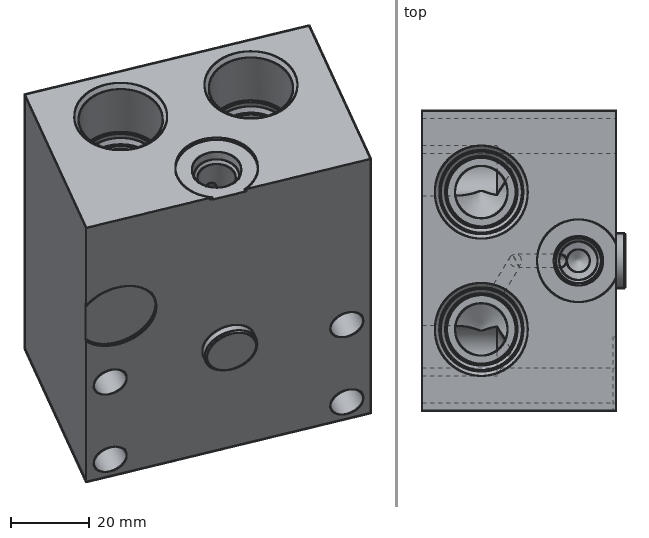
import cadquery as cq
import math

BLOCK_X = 49.3
BLOCK_Y = 76.2
BLOCK_Z = 93.7

DRILL_POINT_ANGLE = 118.0
DRILL_SLOPE = 1 / math.tan(math.radians(DRILL_POINT_ANGLE / 2))

PORT_X = 15.1
PORT_Y = 17.4
PORT_MOUTH_R = 11.8
PORT_MOUTH_DEPTH = 1.1
PORT_THREAD_R = 10.7
PORT_THREAD_DEPTH = 16.9
PORT_CORE_R = 10.3
PORT_CORE_DEPTH = 18.7
PORT_SEAT_R = 9.2
PORT_SEAT_DEPTH = 20.6
PORT_FLOOR_R = 8.7
PORT_FLOOR_DEPTH = PORT_SEAT_DEPTH + PORT_SEAT_R - PORT_FLOOR_R
PORT_BORE_R = 6.65

FEED_Y = 22.9
FEED_Z = 20.5
FEED_R = 6.4
FEED_DEPTH = 19.0

PORT_BORE_DEPTH = BLOCK_Z - FEED_Z

BOLT_Y = 31.7
BOLT_LOW_Z = 6.3
BOLT_HIGH_Z = 34.8
BOLT_R = 4.4

SPOTFACE_R = 10.5
GAUGE_X = 39.7
GAUGE_SPOT_DEPTH = 0.8
GAUGE_MOUTH_R = 6.3
GAUGE_MOUTH_END_R = 5.7
GAUGE_MOUTH_DEPTH = 3.0
GAUGE_THREAD_R = 4.9
GAUGE_THREAD_DEPTH = 13.5
GAUGE_FLOOR_DEPTH = 14.1
GAUGE_BORE_R = 2.9
GAUGE_BORE_DEPTH = 18.7

PASSAGE_R = 1.7
PASSAGE_OVERRUN = 6.6
GAUGE_PASSAGE_START = cq.Vector(35.0, 0, 80.1)
GAUGE_PASSAGE_ANGLE = 60.0
GAUGE_PASSAGE_LENGTH = 22.5

LINK_OPENING = cq.Vector(19.2, -7.6, 78.7)

SIDE_SPOT_Y = -29.8
SIDE_SPOT_Z = 58.5
SIDE_SPOT_DEPTH = 0.75

PLUG_Z = 37.8
PLUG_R = 7.0
PLUG_LENGTH = 2.4
PLUG_CHAMFER = 0.5


def turned(profile):
    """Solid of revolution about Z from (radius, height) points that end on the axis."""
    top = profile[0][1]
    outline = [(0, top), *profile]
    return cq.Workplane("XZ").polyline(outline).close().revolve(360, (0, 0, 0), (0, 1, 0))


def feed_hole(y):
    """Blind drilling from the mounting face toward +X, ending in a drill point."""
    drill = turned([
        (FEED_R, 0),
        (FEED_R, -FEED_DEPTH),
        (0, -FEED_DEPTH - FEED_R * DRILL_SLOPE),
    ])
    return drill.rotate((0, 0, 0), (0, 1, 0), -90).translate((0, y, FEED_Z))


def main_port(y):
    """Stepped bore of one main port, from its chamfered mouth down to its drill point."""
    bore_tip = PORT_BORE_DEPTH + PORT_BORE_R * DRILL_SLOPE
    cutter = turned([
        (PORT_MOUTH_R, 0),
        (PORT_THREAD_R, -PORT_MOUTH_DEPTH),
        (PORT_THREAD_R, -PORT_THREAD_DEPTH),
        (PORT_CORE_R, -PORT_THREAD_DEPTH - (PORT_THREAD_R - PORT_CORE_R)),
        (PORT_CORE_R, -PORT_CORE_DEPTH),
        (PORT_SEAT_R, -PORT_CORE_DEPTH - (PORT_CORE_R - PORT_SEAT_R)),
        (PORT_SEAT_R, -PORT_SEAT_DEPTH),
        (PORT_FLOOR_R, -PORT_FLOOR_DEPTH),
        (PORT_BORE_R, -PORT_FLOOR_DEPTH),
        (PORT_BORE_R, -PORT_BORE_DEPTH),
        (0, -bore_tip),
    ])
    return cutter.translate((PORT_X, y, BLOCK_Z))


def gauge_port():
    """Spotface, sealing cone, thread bore with a shallow conical floor, and pilot bore."""
    seat_end = GAUGE_MOUTH_DEPTH + GAUGE_MOUTH_END_R - GAUGE_THREAD_R
    cutter = turned([
        (SPOTFACE_R, 0),
        (SPOTFACE_R, -GAUGE_SPOT_DEPTH),
        (GAUGE_MOUTH_R, -GAUGE_SPOT_DEPTH),
        (GAUGE_MOUTH_END_R, -GAUGE_MOUTH_DEPTH),
        (GAUGE_THREAD_R, -seat_end),
        (GAUGE_THREAD_R, -GAUGE_THREAD_DEPTH),
        (GAUGE_BORE_R, -GAUGE_FLOOR_DEPTH),
        (GAUGE_BORE_R, -GAUGE_BORE_DEPTH),
        (0, -GAUGE_BORE_DEPTH - GAUGE_BORE_R * DRILL_SLOPE),
    ])
    return cutter.translate((GAUGE_X, 0, BLOCK_Z))


def passage(start, end):
    """Round drilling between two points."""
    run = end - start
    return cq.Workplane(cq.Solid.makeCylinder(PASSAGE_R, run.Length, start, run))


def gauge_passages():
    """Sloping gauge passage and the link that joins it to the -Y main port."""
    slope = math.radians(GAUGE_PASSAGE_ANGLE)
    downhill = cq.Vector(-math.cos(slope), 0, -math.sin(slope))
    meeting_point = GAUGE_PASSAGE_START + downhill * GAUGE_PASSAGE_LENGTH
    link_run = (meeting_point - LINK_OPENING).normalized()
    link_start = LINK_OPENING - link_run * PASSAGE_OVERRUN
    top = GAUGE_PASSAGE_START - downhill * PASSAGE_OVERRUN
    return passage(top, meeting_point).union(passage(link_start, meeting_point))


def mounting_holes():
    """Four plain holes right through the block along X."""
    centres = [(y, z) for y in (-BOLT_Y, BOLT_Y) for z in (BOLT_LOW_Z, BOLT_HIGH_Z)]
    return cq.Workplane("YZ").pushPoints(centres).circle(BOLT_R).extrude(BLOCK_X)


def side_spotface():
    """Shallow round recess in the +X side."""
    return (
        cq.Workplane("YZ", origin=(BLOCK_X, SIDE_SPOT_Y, SIDE_SPOT_Z))
        .circle(SPOTFACE_R)
        .extrude(-SIDE_SPOT_DEPTH)
    )


def make_block():
    """Valve block with all its ports and drillings."""
    block = cq.Workplane("XY").box(BLOCK_X, BLOCK_Y, BLOCK_Z, centered=(False, True, False))
    for side in (-1, 1):
        block = block.cut(main_port(side * PORT_Y))
        block = block.cut(feed_hole(side * FEED_Y))
    block = block.cut(mounting_holes())
    block = block.cut(gauge_port())
    block = block.cut(gauge_passages())
    return block.cut(side_spotface())


def make_plug():
    """Round plug head seated on the +X side, chamfered on its outer rim."""
    return (
        cq.Workplane("YZ", origin=(BLOCK_X, 0, PLUG_Z))
        .circle(PLUG_R)
        .extrude(PLUG_LENGTH)
        .faces(">X")
        .chamfer(PLUG_CHAMFER)
    )


block = make_block()
plug = make_plug()

result = cq.Compound.makeCompound([block.val(), plug.val()])